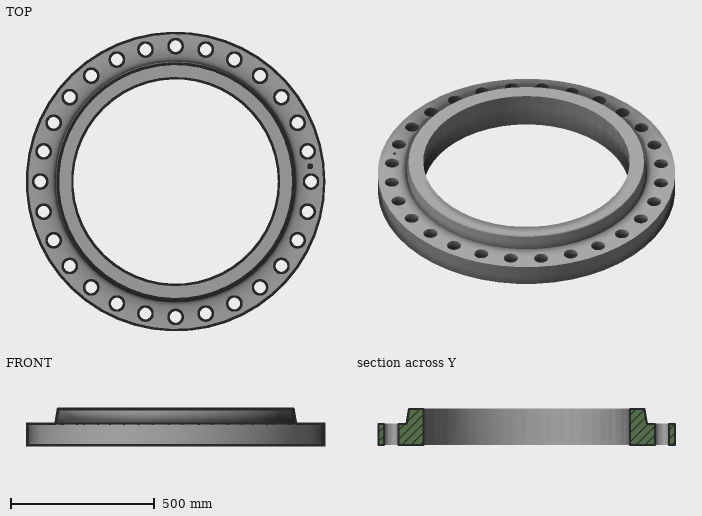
import cadquery as cq
import math

flange_radius = 517.0
flange_thickness = 76.0
total_height = 127.0
bore_radius = 359.0

hub_base_radius = 419.0
foot_fillet_radius = 1.0
hub_shoulder_radius = 411.0
hub_top_radius = 409.0
bevel_height = 3.0

bolt_count = 28
bolt_circle_radius = 471.0
bolt_hole_diameter = 49.0

pin_hole_diameter = 12.0
pin_hole_depth = 21.0
pin_hole_angle = 180.0 / bolt_count


def ring_body():
    """Revolve the half section about the Z axis, then round the hub's foot."""
    section = [
        (bore_radius, 0),
        (flange_radius, 0),
        (flange_radius, flange_thickness),
        (hub_base_radius, flange_thickness),
        (hub_shoulder_radius, total_height - bevel_height),
        (hub_top_radius, total_height),
        (bore_radius, total_height),
    ]
    body = cq.Workplane("XZ").polyline(section).close().revolve(360, (0, 0, 0), (0, 1, 0))
    second_largest = cq.selectors.RadiusNthSelector(-2)
    hub_foot = body.edges("%CIRCLE").edges(second_largest)
    return hub_foot.fillet(foot_fillet_radius)


def bolt_holes():
    """Cylinders through the plate, evenly spaced on the bolt circle."""
    return (
        cq.Workplane("XY")
        .polarArray(bolt_circle_radius, 0, 360, bolt_count)
        .circle(bolt_hole_diameter / 2)
        .extrude(flange_thickness)
    )


def pin_hole():
    """Cylinder sunk into the plate's upper face, on the bolt circle."""
    angle = math.radians(pin_hole_angle)
    center_x = bolt_circle_radius * math.cos(angle)
    center_y = bolt_circle_radius * math.sin(angle)
    return (
        cq.Workplane("XY", origin=(center_x, center_y, flange_thickness))
        .circle(pin_hole_diameter / 2)
        .extrude(-pin_hole_depth)
    )


result = ring_body().cut(bolt_holes()).cut(pin_hole())